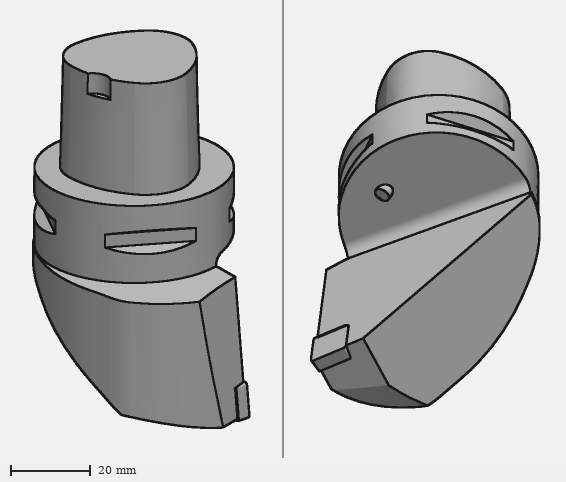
import cadquery as cq
import math


def tangent(degrees):
    return math.tan(math.radians(degrees))


def polar(center, radius, degrees):
    """Point at a radius and angle around a center."""
    angle = math.radians(degrees)
    return (center[0] + radius * math.cos(angle), center[1] + radius * math.sin(angle))



shank_height = 30.0
shank_taper_per_side = 1 / 40
lobe_directions = (90, 210, 330)
lobe_center_distance = 6.45
side_center_distance = 11.0
side_radius = 27.4
opening_angle = 120

notch_radius = 4.55
notch_center_y = -18.45
notch_depth = 5.5

flange_radius = 25.0
flange_height = 20.95
groove_center_z = -10.0
groove_floor_width = 3.5
groove_floor_distance = 22.15
groove_flank_angle = 27.0
groove_angles = (45, 135, 225, 315)

front_face_y = -0.2
relief_angle = 5.0
relief_edge_z = -16.05
relief_corner_radius = 3.0

nozzle_diameter = 4.0
nozzle_lean_angle = 30.0
nozzle_end_x = 10.0
nozzle_y = 12.35
nozzle_lowest_z = -19.2
nozzle_length = 5.0

head_root_radius = 25.3
head_large_radius = 32.0
head_side_y = -28.63
side_arc_center = (6.5, head_side_y + head_large_radius)
outer_arc_center = (4.28, 1.5)
head_corner_radius = 12.5

shoulder_cone_angle = 15.0
head_bottom_z = -65.0
head_margin = 45.0
slant_start_z = -21.9
slant_angle = 38.0
outer_face_x = 30.85
outer_face_z = -22.5
end_face_x = 20.75
approach_angle = 5.0
clearance_arc = ((-9.5, -59.3), (-18.1, -57.3), (-28.3, -53.8))

tip_x = 35.0
tip_z = -60.0
insert_circle = 9.525
insert_corner_angle = 80.0
insert_thickness = 3.97
insert_clearance_angle = 7.0
insert_nose_radius = 0.8


def shank_section(z):
    """Three lobe arcs and three side arcs, tangent to each other, shrunk evenly with height."""
    axis = (0, 0)
    along = lobe_center_distance - polar(axis, side_center_distance, opening_angle)[0]
    across = polar(axis, side_center_distance, opening_angle)[1]
    lobe_half_sweep = math.degrees(math.atan2(across, along))
    side_arc_radius = side_radius - z * shank_taper_per_side
    lobe_arc_radius = side_arc_radius - math.hypot(along, across)

    def lobe_point(direction, offset_angle):
        center = polar(axis, lobe_center_distance, direction)
        return polar(center, lobe_arc_radius, direction + offset_angle)

    outline = cq.Workplane("XY", origin=(0, 0, z))
    outline = outline.moveTo(*lobe_point(lobe_directions[0], -lobe_half_sweep))
    for direction in lobe_directions:
        lobe_tip = lobe_point(direction, 0)
        lobe_end = lobe_point(direction, lobe_half_sweep)
        side_middle = polar(axis, side_arc_radius - side_center_distance, direction + opening_angle / 2)
        side_end = lobe_point(direction + opening_angle, -lobe_half_sweep)
        outline = outline.threePointArc(lobe_tip, lobe_end).threePointArc(side_middle, side_end)
    return outline.close().val()


def make_shank():
    sections = [shank_section(0), shank_section(shank_height)]
    shank = cq.Workplane(cq.Solid.makeLoft(sections, True))
    notch = (
        cq.Workplane("XY", origin=(0, notch_center_y, shank_height))
        .circle(notch_radius)
        .extrude(-notch_depth)
    )
    return shank.cut(notch)


def make_groove(angle):
    depth = flange_radius - groove_floor_distance
    half_floor = groove_floor_width / 2
    half_mouth = half_floor + depth * tangent(groove_flank_angle)
    return (
        cq.Workplane("XZ", origin=(0, 0, groove_center_z))
        .moveTo(groove_floor_distance, -half_floor)
        .lineTo(flange_radius, -half_mouth)
        .lineTo(flange_radius, half_mouth)
        .lineTo(groove_floor_distance, half_floor)
        .close()
        .extrude(flange_radius, both=True)
        .rotate((0, 0, 0), (0, 0, 1), angle)
    )


def make_relief():
    def relief_z(y):
        return relief_edge_z - (flange_radius - y) * tangent(relief_angle)

    corner_y = front_face_y + relief_corner_radius
    corner_z = relief_z(corner_y) - relief_corner_radius / math.cos(math.radians(relief_angle))
    corner = (corner_y, corner_z)
    slope_normal = 90 + relief_angle
    arc_start = (front_face_y, corner_z)
    arc_middle = polar(corner, relief_corner_radius, (180 + slope_normal) / 2)
    arc_end = polar(corner, relief_corner_radius, slope_normal)
    return (
        cq.Workplane("YZ")
        .moveTo(front_face_y, head_bottom_z)
        .lineTo(*arc_start)
        .threePointArc(arc_middle, arc_end)
        .lineTo(head_margin, relief_z(head_margin))
        .lineTo(head_margin, head_bottom_z)
        .close()
        .extrude(head_margin, both=True)
    )


def make_nozzle():
    lean = math.radians(nozzle_lean_angle)
    end_z = nozzle_lowest_z + nozzle_diameter / 2 * math.sin(lean)
    end_center = cq.Vector(nozzle_end_x, nozzle_y, end_z)
    root_direction = cq.Vector(-math.sin(lean), 0, math.cos(lean))
    nozzle = cq.Solid.makeCylinder(nozzle_diameter / 2, nozzle_length, end_center, root_direction)
    return cq.Workplane(nozzle)


def make_flange():
    flange = cq.Workplane("XY").circle(flange_radius).extrude(-flange_height)
    for angle in groove_angles:
        flange = flange.cut(make_groove(angle))
    return flange.cut(make_relief()).union(make_nozzle())


def make_head_column():
    """Head outline as an upright column; all its stretches meet tangentially."""
    axis = (0, 0)
    center_distance = math.hypot(*side_arc_center)
    center_angle = math.degrees(math.atan2(side_arc_center[1], side_arc_center[0]))
    radius_step = head_large_radius - head_root_radius
    straight_normal = 180 + center_angle + math.degrees(math.acos(radius_step / center_distance))
    root_start_angle = 180
    root_middle = polar(axis, head_root_radius, (root_start_angle + straight_normal) / 2)
    root_end = polar(axis, head_root_radius, straight_normal)
    side_start = polar(side_arc_center, head_large_radius, straight_normal)
    side_middle = polar(side_arc_center, head_large_radius, (straight_normal + 270) / 2)
    side_end = (side_arc_center[0], head_side_y)

    corner_y = head_side_y + head_corner_radius
    rise = outer_arc_center[1] - corner_y
    run = math.sqrt((head_large_radius - head_corner_radius) ** 2 - rise**2)
    corner_center = (outer_arc_center[0] + run, corner_y)
    corner_end_angle = math.degrees(math.atan2(-rise, run))
    corner_middle = polar(corner_center, head_corner_radius, (corner_end_angle - 90) / 2)
    corner_end = polar(corner_center, head_corner_radius, corner_end_angle)
    outer_middle = polar(outer_arc_center, head_large_radius, corner_end_angle / 2)
    outer_end = polar(outer_arc_center, head_large_radius, 0)

    column = (
        cq.Workplane("XY", origin=(0, 0, -flange_height))
        .moveTo(-head_root_radius, 0)
        .threePointArc(root_middle, root_end)
        .lineTo(*side_start)
        .threePointArc(side_middle, side_end)
        .lineTo(corner_center[0], head_side_y)
        .threePointArc(corner_middle, corner_end)
        .threePointArc(outer_middle, outer_end)
        .close()
        .extrude(head_bottom_z + flange_height)
    )
    behind_front_face = cq.Workplane("XY").box(
        2 * head_margin, head_margin, -2 * head_bottom_z, centered=(True, False, True)
    )
    return column.cut(behind_front_face.translate((0, front_face_y, 0)))


def make_shoulder_limit():
    """Room below the conical shoulder that surrounds the flange."""
    cone_drop = (head_margin - head_root_radius) * tangent(shoulder_cone_angle)
    return (
        cq.Workplane("XZ")
        .moveTo(0, -flange_height)
        .lineTo(head_root_radius, -flange_height)
        .lineTo(head_margin, -flange_height - cone_drop)
        .lineTo(head_margin, head_bottom_z)
        .lineTo(0, head_bottom_z)
        .close()
        .revolve(360, (0, 0, 0), (0, 1, 0))
    )


def make_side_limit():
    """Room between the slanted underside, the end face and the outer face."""
    tilt = tangent(approach_angle)
    end_face_z = slant_start_z - (end_face_x + head_root_radius) * tangent(slant_angle)
    corner_x = (outer_face_x + (outer_face_z - end_face_z - end_face_x * tilt) * tilt) / (1 - tilt**2)
    corner_z = end_face_z - (corner_x - end_face_x) * tilt
    return (
        cq.Workplane("XZ")
        .moveTo(-head_root_radius, 0)
        .lineTo(-head_root_radius, slant_start_z)
        .lineTo(end_face_x, end_face_z)
        .lineTo(corner_x, corner_z)
        .lineTo(outer_face_x + outer_face_z * tilt, 0)
        .close()
        .extrude(head_margin, both=True)
    )


def make_clearance_limit():
    """Room above the curved clearance at the end of the head."""
    arc_start, arc_middle, arc_end = clearance_arc
    return (
        cq.Workplane("YZ")
        .moveTo(0, 0)
        .lineTo(0, head_bottom_z)
        .lineTo(arc_start[0], head_bottom_z)
        .lineTo(*arc_start)
        .threePointArc(arc_middle, arc_end)
        .lineTo(-head_margin, arc_end[1])
        .lineTo(-head_margin, 0)
        .close()
        .extrude(head_margin, both=True)
    )


def make_head():
    head = make_head_column()
    for limit in (make_shoulder_limit(), make_side_limit(), make_clearance_limit()):
        head = head.intersect(limit)
    return head


def make_insert():
    """Rhombic insert; the rounded nose touches both x = tip_x and z = tip_z."""
    nose = (tip_x - insert_nose_radius, tip_z + insert_nose_radius)
    core_circle = insert_circle - 2 * insert_nose_radius
    core_edge = core_circle / math.sin(math.radians(insert_corner_angle))
    upright_direction = 90 + approach_angle
    end_direction = upright_direction + insert_corner_angle
    upper_corner = polar(nose, core_edge, upright_direction)
    far_corner = polar(upper_corner, core_edge, end_direction)
    left_corner = polar(nose, core_edge, end_direction)
    return (
        cq.Workplane("XZ")
        .polyline([nose, upper_corner, far_corner, left_corner])
        .close()
        .offset2D(insert_nose_radius)
        .extrude(insert_thickness, taper=insert_clearance_angle)
    )


insert = make_insert()
holder = make_shank().union(make_flange()).union(make_head()).cut(insert)

result = cq.Compound.makeCompound([holder.solids().val(), insert.val()])